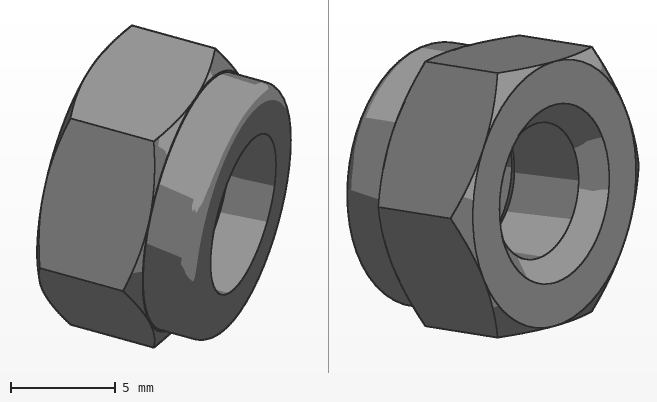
import cadquery as cq
import math

across_corners = 15.01
hex_length = 5.51
total_length = 8.0
collar_diameter = 12.82
rounding_length = 0.6
rounding_radius = 0.75
bore_diameter = 6.65
countersink_diameter = 8.75
rear_bore_diameter = 8.0
rear_flare_start = 4.91
bore_cone_angle = 45.0
corner_chamfer_angle = 30.0

corner_radius = across_corners / 2
flat_radius = corner_radius * math.cos(math.radians(30))
chamfer_depth = (corner_radius - flat_radius) * math.tan(math.radians(corner_chamfer_angle))
collar_radius = collar_diameter / 2
rounding_center_x = total_length - rounding_radius
rounding_start_angle = math.acos((rounding_radius - rounding_length) / rounding_radius)
end_face_radius = collar_radius - rounding_radius * math.sin(rounding_start_angle)
bore_radius = bore_diameter / 2
countersink_radius = countersink_diameter / 2
rear_bore_radius = rear_bore_diameter / 2
cone_slope = math.tan(math.radians(bore_cone_angle))
countersink_depth = (countersink_radius - bore_radius) / cone_slope
rear_flare_end = rear_flare_start + (rear_bore_radius - bore_radius) / cone_slope


def revolve_about_axis(profile):
    """Turn a closed (x, radius) profile about the nut axis."""
    return profile.close().revolve(360, (0, 0, 0), (1, 0, 0))


def make_hexagon():
    """Hexagon with corners on +Y and -Y, its corners turned to a cone at both ends."""
    prism = cq.Workplane("YZ").polygon(6, across_corners).extrude(hex_length)
    turned_envelope = revolve_about_axis(
        cq.Workplane("XY").polyline([
            (0, 0),
            (0, flat_radius),
            (chamfer_depth, corner_radius),
            (hex_length - chamfer_depth, corner_radius),
            (hex_length, flat_radius),
            (hex_length, 0),
        ])
    )
    return prism.intersect(turned_envelope)


def make_collar():
    """Round collar whose end edge is an arc tangent to the end face, meeting the side at a slight angle."""
    mid_angle = rounding_start_angle / 2
    arc_middle = (
        rounding_center_x + rounding_radius * math.cos(mid_angle),
        end_face_radius + rounding_radius * math.sin(mid_angle),
    )
    return revolve_about_axis(
        cq.Workplane("XY")
        .lineTo(0, collar_radius)
        .lineTo(total_length - rounding_length, collar_radius)
        .threePointArc(arc_middle, (total_length, end_face_radius))
        .lineTo(total_length, 0)
    )


def make_bore():
    """Through bore countersunk at the hexagon end and flaring to a wider rear bore."""
    return revolve_about_axis(
        cq.Workplane("XY").polyline([
            (0, 0),
            (0, countersink_radius),
            (countersink_depth, bore_radius),
            (rear_flare_start, bore_radius),
            (rear_flare_end, rear_bore_radius),
            (total_length, rear_bore_radius),
            (total_length, 0),
        ])
    )


result = make_hexagon().union(make_collar()).cut(make_bore())